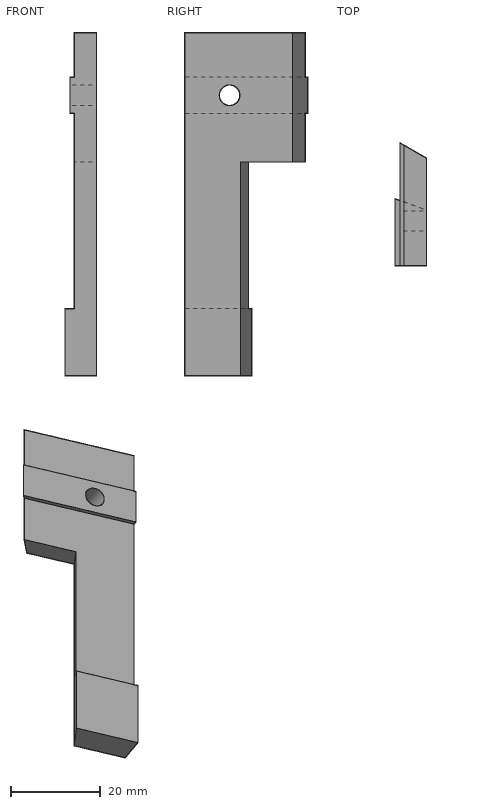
import cadquery as cq
import math

height = 76.5
plate_thickness = 5.0
strip_thickness = 6.0
foot_thickness = 7.0

strip_width = 27.5
foot_width = 15.0
head_bevel_angle = 30.0
leg_bevel_angle = 20.0

head_height = 28.85
foot_height = 15.0
strip_height = 8.0
strip_top_drop = 9.95

hole_diameter = 4.5
hole_y = 10.0
hole_z = height - strip_top_drop - strip_height / 2

head_slope = math.tan(math.radians(head_bevel_angle))
leg_slope = math.tan(math.radians(leg_bevel_angle))
head_width = strip_width - (strip_thickness - plate_thickness) * head_slope
leg_width = foot_width - (foot_thickness - plate_thickness) * leg_slope


def beveled_block(thickness, front_width, slope, bottom, block_height):
    """Block whose far edge slopes inward from the front face to the back."""
    back_width = front_width - thickness * slope
    outline = [(0, 0), (-thickness, 0), (-thickness, front_width), (0, back_width)]
    return (
        cq.Workplane("XY")
        .workplane(offset=bottom)
        .polyline(outline)
        .close()
        .extrude(block_height)
    )


head_bottom = height - head_height
head = beveled_block(plate_thickness, head_width, head_slope, head_bottom, head_height)
strip_bottom = height - strip_top_drop - strip_height
strip = beveled_block(strip_thickness, strip_width, head_slope, strip_bottom, strip_height)
leg = beveled_block(plate_thickness, leg_width, leg_slope, 0, head_bottom)
foot = beveled_block(foot_thickness, foot_width, leg_slope, 0, foot_height)

hole = (
    cq.Workplane("YZ")
    .center(hole_y, hole_z)
    .circle(hole_diameter / 2)
    .extrude(-strip_thickness)
)

result = head.union(leg).union(strip).union(foot).cut(hole)